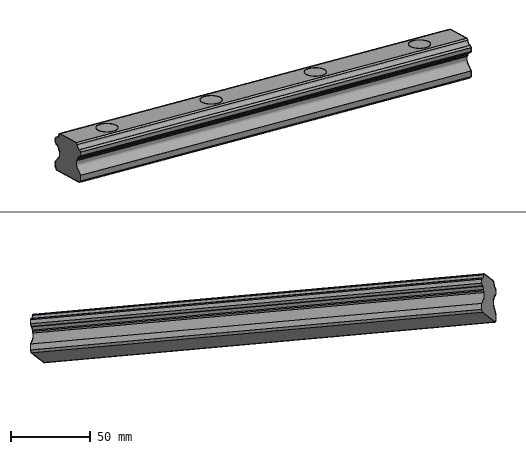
import cadquery as cq
import math

rail_width = 28.0
rail_length = 300.0
rail_height = 26.0
half_width = rail_width / 2

slope_angle = math.radians(45)

base_chamfer = 1.5
base_flange_height = 5.4
web_half_width = 9.4
web_top = 13.7
web_fillet_radius = 2.0
neck_half_width = 10.3
neck_top = 15.4
head_root_half_width = 11.6
head_underside_height = 17.2
head_lower_chamfer = 1.4
head_upper_chamfer = 1.2
head_shoulder_height = 22.4
crown_half_width = 10.2

hole_count = 4
hole_pitch = 80.0
first_hole_offset = (rail_length - (hole_count - 1) * hole_pitch) / 2
cap_diameter = 14.0
cap_recess_depth = 0.1


def make_rail():
    """Extrude the symmetric rail section along +Y, starting at Y = 0."""
    flank_corner_height = base_flange_height + (half_width - web_half_width) * math.tan(slope_angle)
    fillet_setback = web_fillet_radius * math.tan(slope_angle / 2)
    fillet_start_offset = fillet_setback * math.cos(slope_angle)
    fillet_start_drop = fillet_setback * math.sin(slope_angle)

    neck_bottom = web_top + neck_half_width - web_half_width

    groove_edge = half_width - head_upper_chamfer
    groove_radius = groove_edge - crown_half_width
    groove_top = head_shoulder_height + groove_radius
    groove_middle_offset = groove_radius * (1 - math.sqrt(0.5))
    groove_middle = (
        crown_half_width + groove_middle_offset,
        head_shoulder_height + groove_middle_offset,
    )

    crown_chamfer = rail_height - groove_top

    section = (
        cq.Workplane("XZ")
        .moveTo(0, 0)
        .lineTo(half_width - base_chamfer, 0)
        .lineTo(half_width, base_chamfer)
        .lineTo(half_width, base_flange_height)
        .lineTo(web_half_width + fillet_start_offset, flank_corner_height - fillet_start_drop)
        .radiusArc((web_half_width, flank_corner_height + fillet_setback), web_fillet_radius)
        .lineTo(web_half_width, web_top)
        .lineTo(neck_half_width, neck_bottom)
        .lineTo(neck_half_width, neck_top)
        .lineTo(head_root_half_width, head_underside_height)
        .lineTo(half_width - head_lower_chamfer, head_underside_height)
        .lineTo(half_width, head_underside_height + head_lower_chamfer)
        .lineTo(half_width, head_shoulder_height - head_upper_chamfer)
        .lineTo(groove_edge, head_shoulder_height)
        .threePointArc(groove_middle, (crown_half_width, groove_top))
        .lineTo(crown_half_width - crown_chamfer, rail_height)
        .lineTo(0, rail_height)
        .mirrorY()
    )
    return section.extrude(-rail_length)


def make_cap_recesses():
    """Shallow discs that set the hole caps into the top face."""
    positions = [(0, first_hole_offset + i * hole_pitch) for i in range(hole_count)]
    return (
        cq.Workplane("XY")
        .workplane(offset=rail_height - cap_recess_depth)
        .pushPoints(positions)
        .circle(cap_diameter / 2)
        .extrude(cap_recess_depth)
    )


result = make_rail().cut(make_cap_recesses())